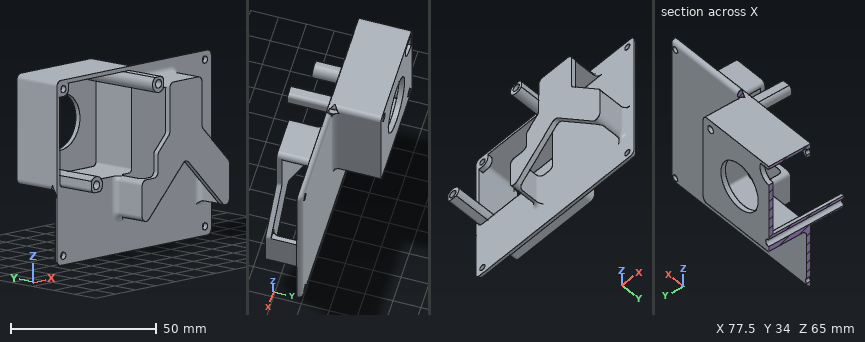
import cadquery as cq

width = 77.5
height = 65.0
round_radius = 2.0
plate_thickness = 2.0
screw_inset = 3.25
screw_diameter = 2.5
screw_ear_radius = 2.6
screw_access_radius = 5.3

wall = 1.5
box_size = 39.0
box_depth = 19.0
floor_thickness = 2.0
shaft_hole_diameter = 20.0
post_pitch = 31.1
post_radius = 3.0
post_hole_diameter = 3.0
post_reach = 15.0

bracket_front = 12.5
bracket_thickness = 2.0
bracket_center = 51.45
stem_half_width = 8.05
leg_half_width = 21.9
stem_top = height - 5.1
shoulder_z = height - 23.1
fork_z = height - 33.0

box_center_x = box_size / 2
box_center_z = height - box_size / 2
cavity_right = box_size - wall
cavity_bottom = height - cavity_right
leg_top = shoulder_z - (leg_half_width - stem_half_width)
margin = 15.5


def block(x0, x1, y0, y1, z0, z1):
    return cq.Workplane("XY").box(x1 - x0, y1 - y0, z1 - z0, centered=False).translate((x0, y0, z0))


def cylinder(x, z, radius, y0, y1):
    return cq.Workplane("XZ", origin=(x, y0, z)).circle(radius).extrude(y0 - y1)


def prism(points, y0, y1):
    return cq.Workplane("XZ", origin=(0, y0, 0)).polyline(points).close().extrude(y0 - y1)


def rounded_block(x0, x1, y0, y1, z0, z1, radius):
    return block(x0, x1, y0, y1, z0, z1).edges("|Y").fillet(radius)


def plate_and_box():
    """Plate and box exterior, rounded along the plate rim and blended where they meet."""
    plate = rounded_block(0, width, 0, plate_thickness, 0, height, round_radius)
    box = rounded_block(0, box_size, 0, box_depth, height - box_size, height, round_radius)
    body = plate.union(box)
    tolerance = 0.1
    slack = 0.04
    back_edges = body.edges(cq.selectors.BoxSelector(
        (-margin, plate_thickness - tolerance, -margin),
        (width + margin, plate_thickness + tolerance, height + margin)))
    return back_edges.fillet(round_radius - slack)


def cavity(y0, y1):
    return rounded_block(wall, cavity_right, y0, y1, cavity_bottom, height - wall, wall)


def bracket_outline(y0, y1):
    """Y-shaped outline: a stem, 45 degree shoulders and a fork, notched around the box opening."""
    left_leg = bracket_center - leg_half_width
    right_leg = bracket_center + leg_half_width
    leg_tip = fork_z - leg_half_width
    stem_left = bracket_center - stem_half_width
    stem_right = bracket_center + stem_half_width
    notch_z = shoulder_z - (stem_left - cavity_right)
    points = [
        (stem_left, stem_top),
        (stem_right, stem_top),
        (stem_right, shoulder_z),
        (right_leg, leg_top),
        (right_leg, leg_tip),
        (bracket_center, fork_z),
        (left_leg, leg_tip),
        (left_leg, cavity_bottom),
        (cavity_right, cavity_bottom),
        (cavity_right, notch_z),
        (stem_left, shoulder_z),
    ]
    return prism(points, y0, y1).edges("|Y").fillet(round_radius)


def flared(support):
    """Stand a support on a slab and blend its foot into the slab."""
    match_distance = 0.01
    slack = 0.01
    slab = block(-margin, width + margin, 0, plate_thickness, -margin, height + margin)
    foot = support.faces(">Y").edges()
    centers = [edge.Center() for edge in foot.vals()]
    joined = slab.union(support)
    edges = [
        edge for edge in joined.edges().vals()
        if any((edge.Center() - center).Length < match_distance for center in centers)
    ]
    return joined.newObject(edges).fillet(round_radius - slack).intersect(
        block(-margin, width + margin, -bracket_front, 0, -margin, height + margin))


def leg_section(side):
    """Zone of a leg wall, blended on its inner side into both the plate and the bracket."""
    outer = leg_half_width + margin
    inner = leg_half_width - bracket_thickness
    toe = inner - round_radius
    bracket_back = bracket_thickness - bracket_front
    bend = round_radius * 0.5 ** 0.5
    near_x = toe + bend
    profile = (
        cq.Workplane("XY", origin=(bracket_center, 0, 0))
        .moveTo(side * outer, 0)
        .lineTo(side * toe, 0)
        .threePointArc((side * near_x, bend - round_radius), (side * inner, -round_radius))
        .lineTo(side * inner, bracket_back + round_radius)
        .threePointArc((side * near_x, bracket_back + round_radius - bend), (side * toe, bracket_back))
        .lineTo(side * outer, bracket_back)
        .close()
    )
    return profile.extrude(leg_top)


def bracket():
    outline = bracket_outline(-bracket_front, 0)
    face = bracket_outline(-bracket_front, bracket_thickness - bracket_front)
    reach = leg_half_width - 2 * round_radius - bracket_thickness
    left = bracket_center - reach
    right = bracket_center + reach
    stem = outline.intersect(block(0, width, -bracket_front, 0, shoulder_z + round_radius, height))
    left_leg = outline.intersect(block(0, left, -bracket_front, 0, 0, height))
    right_leg = outline.intersect(block(right, width, -bracket_front, 0, 0, height))
    stem_zone = block(0, width, -bracket_front, 0, stem_top - bracket_thickness, height)
    return (
        face
        .union(flared(stem).intersect(stem_zone))
        .union(flared(left_leg).intersect(leg_section(-1)))
        .union(flared(right_leg).intersect(leg_section(1)))
        .cut(cavity(bracket_thickness - bracket_front, 0))
    )


def post(x, z):
    """Tubular motor post, trimmed to the box cavity."""
    full = cylinder(x, z, post_radius, -post_reach, box_depth)
    return full.intersect(cavity(-post_reach, box_depth))


def screw_ear():
    """Corner of the plate kept around the screw hole inside the box opening."""
    x = screw_inset
    z = height - screw_inset
    r = screw_ear_radius
    ear = (
        cylinder(x, z, r, 0, plate_thickness)
        .union(block(0, x + r, 0, plate_thickness, z, height))
        .union(block(0, x, 0, plate_thickness, z - r, height))
    )
    return ear.intersect(block(wall / 2, width, 0, plate_thickness, 0, height - wall / 2))


floor_face = box_depth - floor_thickness
post_places = [
    (box_center_x + post_pitch / 2, box_center_z + post_pitch / 2),
    (box_center_x - post_pitch / 2, box_center_z - post_pitch / 2),
]

opening = block(wall, cavity_right, floor_face, box_depth, cavity_bottom, height - wall)
floor_relief = cylinder(
    screw_inset, height - screw_inset, screw_access_radius, floor_face, box_depth).intersect(opening)

result = (
    plate_and_box()
    .cut(cavity(0, floor_face))
    .cut(floor_relief)
    .cut(cylinder(box_center_x, box_center_z, shaft_hole_diameter / 2, floor_face, box_depth))
    .union(screw_ear())
    .union(bracket())
)

for x, z in post_places:
    result = result.union(post(x, z))
for x, z in post_places:
    result = result.cut(cylinder(x, z, post_hole_diameter / 2, -post_reach, box_depth))

for x in (screw_inset, width - screw_inset):
    for z in (screw_inset, height - screw_inset):
        result = result.cut(cylinder(x, z, screw_diameter / 2, 0, plate_thickness))